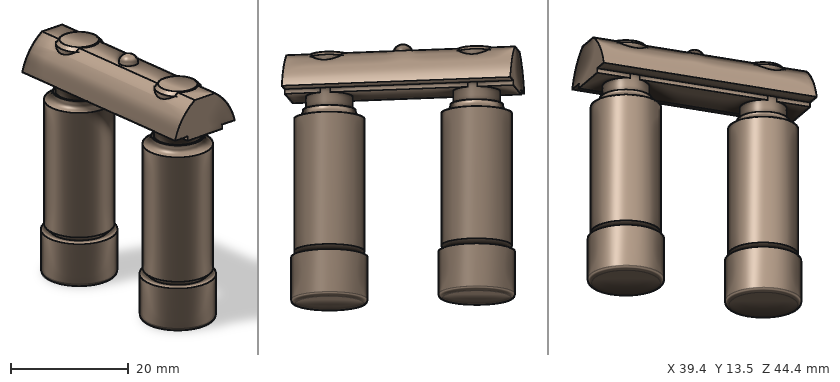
import cadquery as cq

SCREW_PITCH = 25.4
HEAD_DIAMETER = 13.0
HEAD_HEIGHT = 8.0
HEAD_FILLET = 0.65
SHANK_DIAMETER = 8.0
SHANK_TIP_DIAMETER = 6.65
SHANK_TOP = 43.0
TIP_CHAMFER = (SHANK_DIAMETER - SHANK_TIP_DIAMETER) / 2

SLEEVE_DIAMETER = 12.0
SLEEVE_BORE = 8.2
SLEEVE_TOP = 33.48
SLEEVE_CHAMFER = 1.0
NECK_RADIUS = 1.5

BAR_LENGTH = 39.4
BAR_WIDTH = 13.5
BAR_FLAT_WIDTH = 4.57
BAR_BOTTOM = 35.8
BAR_TOP = 42.85
STEM_WIDTH = 7.8
STEM_HEIGHT = 0.8
FLANK_RADIUS = 11.0
BUMP_DIAMETER = 3.37
BUMP_TOP = 44.4

screw_positions = [-SCREW_PITCH / 2, SCREW_PITCH / 2]


def make_screw(x):
    """Cap screw with a rounded head edge and a chamfered shank tip."""
    head = cq.Workplane("XY").circle(HEAD_DIAMETER / 2).extrude(HEAD_HEIGHT)
    head = head.faces("<Z").edges().fillet(HEAD_FILLET)
    shank = (
        cq.Workplane("XY")
        .workplane(offset=HEAD_HEIGHT)
        .circle(SHANK_DIAMETER / 2)
        .extrude(SHANK_TOP - HEAD_HEIGHT)
        .faces(">Z")
        .edges()
        .chamfer(TIP_CHAMFER)
    )
    return head.union(shank).translate((x, 0, 0))


def make_sleeve(x):
    """Tube with a chamfered lower edge and a concave round at its upper edge."""
    outer = SLEEVE_DIAMETER / 2
    inner = SLEEVE_BORE / 2
    return (
        cq.Workplane("XZ")
        .moveTo(inner, HEAD_HEIGHT)
        .lineTo(outer - SLEEVE_CHAMFER, HEAD_HEIGHT)
        .lineTo(outer, HEAD_HEIGHT + SLEEVE_CHAMFER)
        .lineTo(outer, SLEEVE_TOP - NECK_RADIUS)
        .radiusArc((outer - NECK_RADIUS, SLEEVE_TOP), NECK_RADIUS)
        .lineTo(inner, SLEEVE_TOP)
        .close()
        .revolve(360, (0, 0, 0), (0, 1, 0))
        .translate((x, 0, 0))
    )


def make_bar(screws):
    """Bar with curved flanks, a low stem below, a round bump on top and holes that match the screws."""
    step = BAR_BOTTOM + STEM_HEIGHT
    bar = (
        cq.Workplane("YZ")
        .moveTo(-STEM_WIDTH / 2, BAR_BOTTOM)
        .lineTo(STEM_WIDTH / 2, BAR_BOTTOM)
        .lineTo(STEM_WIDTH / 2, step)
        .lineTo(BAR_WIDTH / 2, step)
        .radiusArc((BAR_FLAT_WIDTH / 2, BAR_TOP), -FLANK_RADIUS)
        .lineTo(-BAR_FLAT_WIDTH / 2, BAR_TOP)
        .radiusArc((-BAR_WIDTH / 2, step), -FLANK_RADIUS)
        .lineTo(-STEM_WIDTH / 2, step)
        .close()
        .extrude(BAR_LENGTH / 2, both=True)
    )
    bump_radius = BUMP_DIAMETER / 2
    bump = cq.Workplane("XY").sphere(bump_radius).translate((0, 0, BUMP_TOP - bump_radius))
    bar = bar.union(bump)
    for screw in screws:
        bar = bar.cut(screw)
    return bar


screws = [make_screw(x) for x in screw_positions]
bar = make_bar(screws)
sleeves = [make_sleeve(x) for x in screw_positions]

result = cq.Compound.makeCompound(
    [
        bar.solids().val(),
        *[screw.solids().val() for screw in screws],
        *[sleeve.solids().val() for sleeve in sleeves],
    ]
)